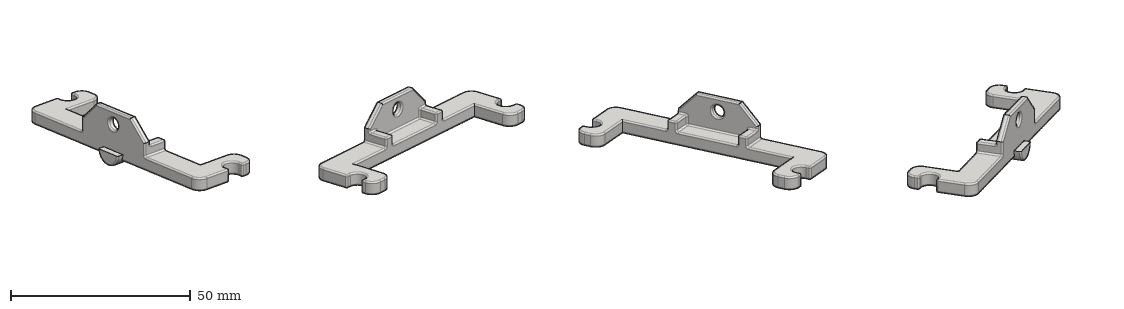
import cadquery as cq


plate_length = 70.0
plate_thickness = 4.0
bar_depth = 8.0
arm_width = bar_depth
arm_reach = 21.0
corner_radius = 3.0
half_length = plate_length / 2
arm_inner_x = half_length - arm_width

slot_radius = 2.5
slot_center_y = 14.0
slot_center_x = half_length - 1.5

tab_thickness = 2.0
tab_half_width = 12.8
tab_top = 14.0
tab_corner_cut = 5.8
tab_shoulder_z = tab_top - tab_corner_cut
hole_diameter = 3.7
hole_z = 10.0

rib_width = 3.0
rib_top = 7.0
rib_inner_x = tab_half_width - rib_width

peg_radius = 3.9
peg_flat_z = 2.0
peg_overhang = 2.0

edge_radius = 0.5
tolerance = 0.01


def make_plate():
    outline = [
        (-half_length, 0),
        (half_length, 0),
        (half_length, arm_reach),
        (arm_inner_x, arm_reach),
        (arm_inner_x, bar_depth),
        (-arm_inner_x, bar_depth),
        (-arm_inner_x, arm_reach),
        (-half_length, arm_reach),
    ]
    plate = cq.Workplane("XY").polyline(outline).close().extrude(plate_thickness)
    plate = plate.edges("|Z and (<Y or >Y)").fillet(corner_radius)
    for side in (-1, 1):
        plate = plate.cut(make_slot(side))
    return plate


def make_slot(side):
    mouth_length = 2 * (half_length - slot_center_x)
    end = cq.Workplane("XY").center(side * slot_center_x, slot_center_y).circle(slot_radius)
    mouth = (
        cq.Workplane("XY")
        .center(side * (slot_center_x + mouth_length / 2), slot_center_y)
        .rect(mouth_length, 2 * slot_radius)
    )
    return end.extrude(plate_thickness).union(mouth.extrude(plate_thickness))


def make_tab():
    outline = [
        (-tab_half_width, 0),
        (tab_half_width, 0),
        (tab_half_width, tab_shoulder_z),
        (tab_half_width - tab_corner_cut, tab_top),
        (tab_corner_cut - tab_half_width, tab_top),
        (-tab_half_width, tab_shoulder_z),
    ]
    tab = cq.Workplane("XZ").polyline(outline).close().extrude(-tab_thickness)
    hole = cq.Workplane("XZ").center(0, hole_z).circle(hole_diameter / 2).extrude(-tab_thickness)
    return tab.cut(hole)


def make_rib(side):
    rib = cq.Workplane("XY").box(rib_width, bar_depth, rib_top, centered=(True, False, False))
    return rib.translate((side * (rib_inner_x + rib_width / 2), 0, 0))


def make_peg():
    peg = (
        cq.Workplane("XZ", origin=(0, -peg_overhang, peg_flat_z))
        .moveTo(-peg_radius, 0)
        .threePointArc((0, -peg_radius), (peg_radius, 0))
        .close()
        .extrude(-(peg_overhang + tab_thickness))
    )
    return peg.edges("%CIRCLE").fillet(edge_radius)


def is_slot_mouth(corner):
    on_outer_side = abs(abs(corner.x) - half_length) < tolerance
    on_slot_wall = abs(abs(corner.y - slot_center_y) - slot_radius) < tolerance
    return on_outer_side and on_slot_wall


def is_rounded(edge):
    middle = edge.Center()
    extent = edge.BoundingBox()
    upright = extent.xlen < tolerance and extent.ylen < tolerance
    across_tab = extent.xlen < tolerance and extent.zlen < tolerance
    if upright:
        return middle.z > plate_thickness or is_slot_mouth(middle)
    return not (across_tab and middle.z > rib_top + tolerance)


body = make_plate().union(make_tab())
for side in (-1, 1):
    body = body.union(make_rib(side))

rounded_edges = [edge for edge in body.edges().vals() if is_rounded(edge)]
body = body.newObject(rounded_edges).fillet(edge_radius)

result = body.union(make_peg())